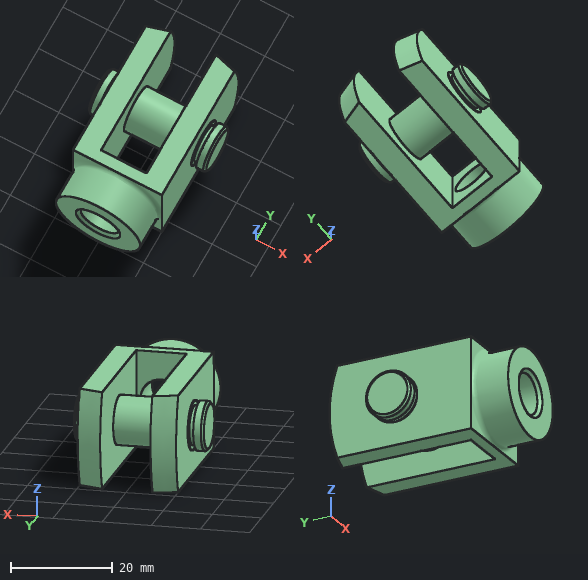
import cadquery as cq
import math


total_length = 40.95
body_width = 20.0
neck_length = 8.0
neck_diameter = 19.0
neck_fillet = 1.02
slot_width = 10.2
slot_floor = 10.6
bore_diameter = 8.5
bore_mouth_diameter = 10.0
tip_radius = 31.3
tip_taper = math.radians(15)

pin_position = 25.0
pin_length = 26.4
pin_diameter = 10.0
pin_end_chamfer = 0.5
collar_length = 2.05
groove_diameter = 8.0
groove_width = 1.02


def cylinder_along_y(diameter, start, length):
    """Cylinder on the fork axis, from Y = start toward +Y."""
    plane = cq.Workplane("XZ", origin=(0, start, 0))
    return plane.circle(diameter / 2).extrude(-length)


def cylinder_along_x(diameter, start, length):
    """Cylinder on the pin axis, from X = start toward +X."""
    plane = cq.Workplane("YZ", origin=(start, pin_position, 0))
    return plane.circle(diameter / 2).extrude(length)


def make_fork_blank():
    """Square body with a round neck, filleted where they meet."""
    body_length = total_length - neck_length
    body = cq.Workplane("XY").box(body_width, body_length, body_width)
    body = body.translate((0, neck_length + body_length / 2, 0))
    neck = cylinder_along_y(neck_diameter, 0, neck_length)
    root = cq.selectors.NearestToPointSelector((0, neck_length, 0))
    return body.union(neck).edges("%CIRCLE").edges(root).fillet(neck_fillet)


def make_tip_envelope():
    """Two cones back to back about an X-parallel axis, which round and taper the prong tips."""
    half_slot = slot_width / 2
    half_body = body_width / 2
    center = total_length - tip_radius
    outer_edge = total_length - (half_body - half_slot) * math.tan(tip_taper)
    profile = cq.Workplane("XY").polyline([
        (-half_body, center),
        (-half_body, outer_edge),
        (-half_slot, total_length),
        (half_slot, total_length),
        (half_body, outer_edge),
        (half_body, center),
    ]).close()
    return profile.revolve(360, (0, center, 0), (1, center, 0))


def make_slot():
    """Slot between the prongs, open at the tips and right through in Z."""
    slot_length = total_length - slot_floor
    slot = cq.Workplane("XY").box(slot_width, slot_length, body_width)
    return slot.translate((0, slot_floor + slot_length / 2, 0))


def make_bore():
    """Bore from the neck into the slot, with a 45 degree countersink at its mouth."""
    bore_radius = bore_diameter / 2
    mouth_radius = bore_mouth_diameter / 2
    profile = cq.Workplane("XY").polyline([
        (0, 0),
        (mouth_radius, 0),
        (bore_radius, mouth_radius - bore_radius),
        (bore_radius, slot_floor),
        (0, slot_floor),
    ]).close()
    return profile.revolve(360, (0, 0, 0), (0, 1, 0))


def make_fork():
    pin_hole = cylinder_along_x(pin_diameter, -body_width / 2, body_width)
    fork = make_fork_blank().intersect(make_tip_envelope())
    return fork.cut(make_slot()).cut(make_bore()).cut(pin_hole)


def make_pin():
    """Round pin with chamfered ends and a retaining groove just outside each prong."""
    pin = cylinder_along_x(pin_diameter, -pin_length / 2, pin_length)
    pin = pin.faces("<X or >X").edges().chamfer(pin_end_chamfer)
    groove_offset = pin_length / 2 - collar_length - groove_width / 2
    for side in (-1, 1):
        start = side * groove_offset - groove_width / 2
        core = cylinder_along_x(groove_diameter, start, groove_width)
        groove = cylinder_along_x(pin_diameter, start, groove_width).cut(core)
        pin = pin.cut(groove)
    return pin


fork = make_fork()
pin = make_pin()
result = cq.Compound.makeCompound([fork.val(), pin.val()])